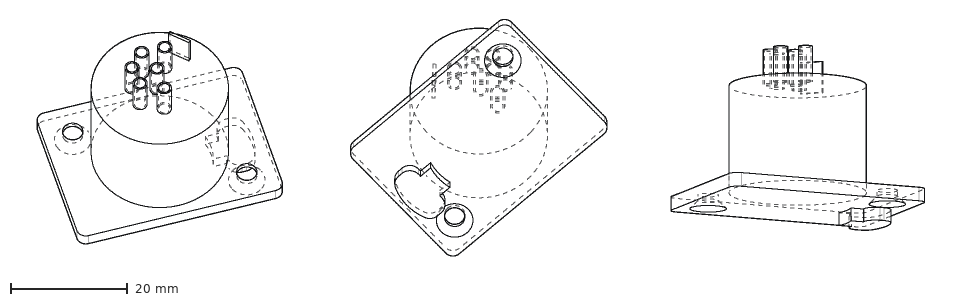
import cadquery as cq
import math

plate_width = 27.0
plate_length = 36.7
plate_thickness = 2.4
plate_corner_radius = 1.6
screw_hole_diameter = 3.5
countersink_angle = 90.0
screw_hole_straight_depth = 1.0
screw_hole_x = 8.33
screw_hole_y = 13.1

barrel_diameter = 23.6
barrel_height = 18.7
barrel_top = plate_thickness + barrel_height

pin_outer_diameter = 2.45
pin_inner_diameter = 1.9
pin_height = 6.05
pin_centres = [
    (-3.93, 2.05),
    (0.0, -0.48),
    (4.3, -0.48),
    (-4.0, -2.05),
    (-1.4, -4.55),
    (2.2, -4.2),
]

blade_length = 4.0
blade_thickness = 0.5
blade_height = 5.4
blade_centre = (-5.7, 5.2)
blade_angle = 45.0

tab_height = 2.25
tab_head_half_width = 5.0
tab_stem_half_width = 2.45
tab_corner_radius = 2.02
tab_tip_y = 16.63
tab_upper_corner_y = 14.02
tab_lower_corner_y = 13.25
tab_shoulder_y = tab_lower_corner_y - tab_corner_radius
tab_stem_end_y = 8.88


def make_plate():
    countersink_depth = plate_thickness - screw_hole_straight_depth
    countersink_spread = countersink_depth * math.tan(math.radians(countersink_angle / 2))
    countersink_diameter = screw_hole_diameter + 2 * countersink_spread

    return (
        cq.Workplane("XY")
        .rect(plate_width, plate_length)
        .extrude(plate_thickness)
        .edges("|Z")
        .fillet(plate_corner_radius)
        .faces("<Z")
        .workplane()
        .pushPoints([(screw_hole_x, -screw_hole_y), (-screw_hole_x, screw_hole_y)])
        .cskHole(screw_hole_diameter, countersink_diameter, countersink_angle)
    )


def make_barrel():
    return (
        cq.Workplane("XY")
        .workplane(offset=plate_thickness)
        .circle(barrel_diameter / 2)
        .extrude(barrel_height)
    )


def make_pins():
    return (
        cq.Workplane("XY")
        .workplane(offset=barrel_top)
        .pushPoints(pin_centres)
        .circle(pin_outer_diameter / 2)
        .circle(pin_inner_diameter / 2)
        .extrude(pin_height)
    )


def make_blade():
    return (
        cq.Workplane("XY")
        .rect(blade_length, blade_thickness)
        .extrude(blade_height)
        .rotate((0, 0, 0), (0, 0, 1), blade_angle)
        .translate((*blade_centre, barrel_top))
    )


def make_tab():
    corner_x = tab_head_half_width - tab_corner_radius

    corner_drop = tab_tip_y - tab_upper_corner_y
    crown_radius = (corner_x**2 + corner_drop**2 - tab_corner_radius**2) / (
        2 * (corner_drop - tab_corner_radius)
    )
    crown_angle = math.asin(corner_x / (crown_radius - tab_corner_radius))

    def upper_corner_point(side, angle):
        return (
            side * (corner_x + tab_corner_radius * math.sin(angle)),
            tab_upper_corner_y + tab_corner_radius * math.cos(angle),
        )

    corner_middle_angle = (crown_angle + math.pi / 2) / 2
    lower_corner_x = corner_x + tab_corner_radius * math.sin(math.pi / 4)
    lower_corner_y = tab_lower_corner_y - tab_corner_radius * math.cos(math.pi / 4)

    stem_arc_radius = math.hypot(tab_stem_half_width, tab_stem_end_y)

    return (
        cq.Workplane("XY")
        .moveTo(-tab_stem_half_width, tab_stem_end_y)
        .threePointArc((0, stem_arc_radius), (tab_stem_half_width, tab_stem_end_y))
        .lineTo(tab_stem_half_width, tab_shoulder_y)
        .lineTo(corner_x, tab_shoulder_y)
        .threePointArc((lower_corner_x, lower_corner_y), (tab_head_half_width, tab_lower_corner_y))
        .lineTo(tab_head_half_width, tab_upper_corner_y)
        .threePointArc(upper_corner_point(1, corner_middle_angle), upper_corner_point(1, crown_angle))
        .threePointArc((0, tab_tip_y), upper_corner_point(-1, crown_angle))
        .threePointArc(
            upper_corner_point(-1, corner_middle_angle),
            (-tab_head_half_width, tab_upper_corner_y),
        )
        .lineTo(-tab_head_half_width, tab_lower_corner_y)
        .threePointArc((-lower_corner_x, lower_corner_y), (-corner_x, tab_shoulder_y))
        .lineTo(-tab_stem_half_width, tab_shoulder_y)
        .close()
        .extrude(-tab_height)
    )


result = make_plate().union(make_barrel()).union(make_pins()).union(make_blade()).union(make_tab())